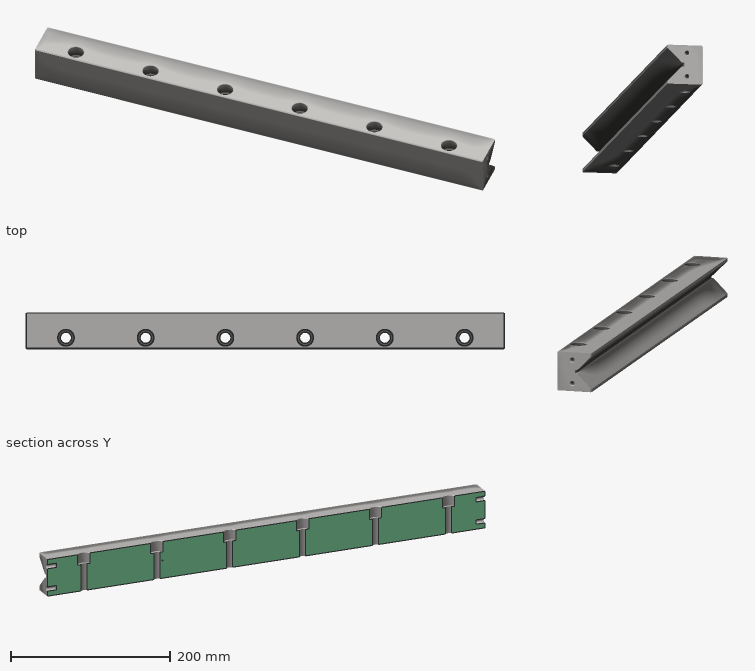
import cadquery as cq

length = 600.0
depth = 45.0
height = 50.0
front_chamfer = 1.0
end_chamfer = 1.0

groove_half_mouth = 21.0
slot_half_width = 2.5
slot_floor_depth = 21.5
groove_flank_depth = groove_half_mouth - slot_half_width

mount_count = 6
mount_pitch = length / mount_count
mount_from_front = 14.0
mount_diameter = 14.0
counterbore_diameter = 20.0
counterbore_depth = 14.0
counterbore_rim_chamfer = 0.5

end_hole_diameter = 5.15
end_hole_depth = 12.0
end_countersink_diameter = 6.5
end_countersink_angle = 90
end_hole_from_front = 20.0
end_hole_offset = 15.0

front = -depth / 2
back = depth / 2
left_end = -length / 2
top = height / 2


def make_body():
    body = cq.Workplane("XY").box(length, depth, height)
    body = body.edges("|Z").chamfer(end_chamfer)
    return body.faces("<Y").edges("|X").chamfer(front_chamfer)


def make_groove():
    slot_floor = back - slot_floor_depth
    flank_end = back - groove_flank_depth
    return (
        cq.Workplane("YZ", origin=(left_end, 0, 0))
        .moveTo(back, groove_half_mouth)
        .lineTo(flank_end, slot_half_width)
        .lineTo(slot_floor, slot_half_width)
        .lineTo(slot_floor, -slot_half_width)
        .lineTo(flank_end, -slot_half_width)
        .lineTo(back, -groove_half_mouth)
        .close()
        .extrude(length)
    )


def drill_mounting_holes(body):
    drilled = (
        body.copyWorkplane(cq.Workplane("XY", origin=(0, front + mount_from_front, top)))
        .rarray(mount_pitch, 6, mount_count, 1)
        .cboreHole(mount_diameter, counterbore_diameter, counterbore_depth)
    )
    return drilled.faces(">Z").edges("%CIRCLE").chamfer(counterbore_rim_chamfer)


def drill_end_holes(body, face):
    return (
        body.faces(face)
        .workplane(origin=(0, front + end_hole_from_front, 0))
        .pushPoints([(0, end_hole_offset), (0, -end_hole_offset)])
        .cskHole(end_hole_diameter, end_countersink_diameter, end_countersink_angle, end_hole_depth)
    )


rail = make_body().cut(make_groove())
rail = drill_mounting_holes(rail)
rail = drill_end_holes(rail, "<X")
result = drill_end_holes(rail, ">X")